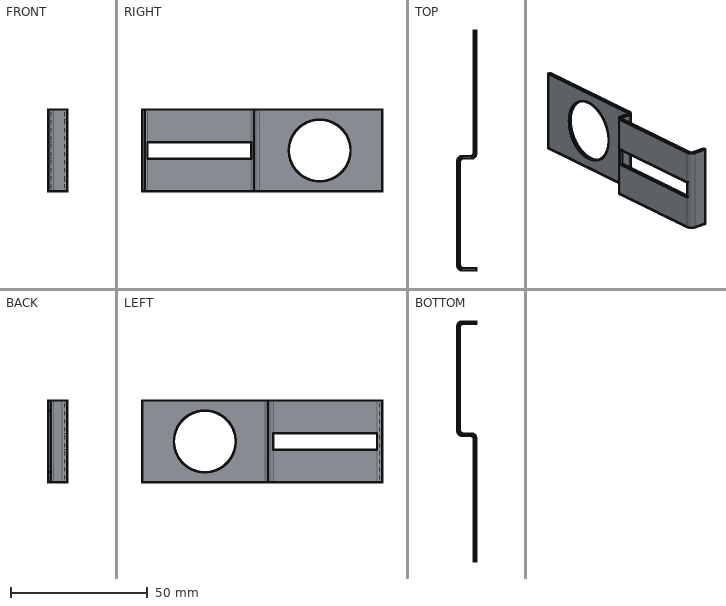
import cadquery as cq

LENGTH = 88.0
DEPTH = 7.0
HEIGHT = 30.0

SHEET = 1.0
INNER_RADIUS = 1.1
OUTER_RADIUS = INNER_RADIUS + SHEET

STEP_DISTANCE = 47.0

HOLE_DIAMETER = 22.5
HOLE_DISTANCE = 23.0
SLOT_HEIGHT = 6.0

left = -DEPTH / 2
right = DEPTH / 2
front = -LENGTH / 2
back = LENGTH / 2
step_front = back - STEP_DISTANCE
step_back = step_front + SHEET


def make_bent_sheet():
    """Extrude the sharp Z-shaped strip along Z, then round its bends."""
    outline = [
        (right, front),
        (left, front),
        (left, step_back),
        (right - SHEET, step_back),
        (right - SHEET, back),
        (right, back),
        (right, step_front),
        (left + SHEET, step_front),
        (left + SHEET, front + SHEET),
        (right, front + SHEET),
    ]
    inner_corners = [
        (left + SHEET, front + SHEET),
        (left + SHEET, step_front),
        (right - SHEET, step_back),
    ]
    outer_corners = [(left, front), (left, step_back), (right, step_front)]
    sheet = cq.Workplane("XY").polyline(outline).close().extrude(HEIGHT / 2, both=True)
    for corners, radius in ((inner_corners, INNER_RADIUS), (outer_corners, OUTER_RADIUS)):
        for corner in corners:
            point = (corner[0], corner[1], 0)
            sheet = sheet.edges("|Z").edges(cq.NearestToPointSelector(point)).fillet(radius)
    return sheet


def make_round_hole():
    """Cutter for the round hole through the holed plate."""
    return (
        cq.Workplane("YZ", origin=(left, 0, 0))
        .center(back - HOLE_DISTANCE, 0)
        .circle(HOLE_DIAMETER / 2)
        .extrude(DEPTH)
    )


def make_slot():
    """Cutter for the slot filling the flat length of the slotted plate between its bends."""
    slot_front = front + OUTER_RADIUS
    slot_back = step_back - OUTER_RADIUS
    return cq.Workplane("XY").box(SHEET, slot_back - slot_front, SLOT_HEIGHT).translate(
        (left + SHEET / 2, (slot_front + slot_back) / 2, 0)
    )


result = make_bent_sheet().cut(make_round_hole()).cut(make_slot())